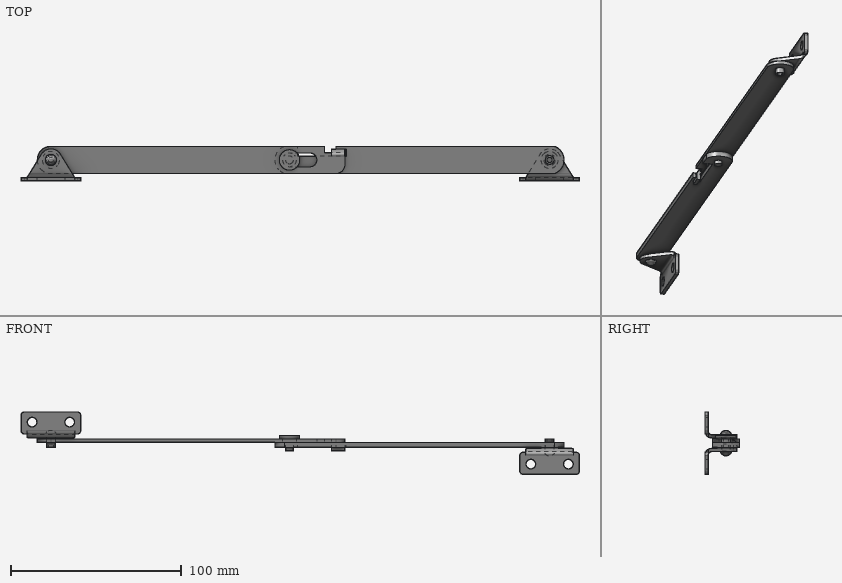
import cadquery as cq
import math

overall_length = 327.1
overall_depth = 20.3
overall_height = 36.6

arm_width = 16.0
upper_arm_thickness = 2.0
lower_arm_thickness = 3.0
upper_arm_top_z = (upper_arm_thickness + lower_arm_thickness) / 2
lower_arm_bottom_z = -upper_arm_top_z
joint_z = upper_arm_top_z - upper_arm_thickness
upper_arm_corner_radius = 5.4
lower_arm_end_radius = 8.5
arm_top_y = overall_depth / 2
arm_bottom_y = arm_top_y - arm_width
axis_y = arm_top_y - arm_width / 2

bracket_length = 35.0
bracket_sheet = 2.0
bracket_bend_radius = 2.0
plate_height = 13.0
plate_corner_radius = 2.0
screw_hole_diameter = 5.5
screw_hole_spacing = 22.0
screw_hole_edge = 6.0
ear_base_width = 28.0
ear_tip_radius = 6.5
bracket_x = -(overall_length - bracket_length) / 2
wall_y = -overall_depth / 2

washer_diameter = 10.0
washer_thickness = 0.5
ear_bottom_z = upper_arm_top_z + washer_thickness
ear_top_z = ear_bottom_z + bracket_sheet

rivet_diameter = 5.1
rivet_head_diameter = 6.6
rivet_head_height = 2.5
rivet_tail_length = 2.5
rivet_bore_diameter = 3.0
rivet_bore_depth = 2.0

pin_x = -6.3
pin_head_diameter = 12.0
pin_head_height = 2.0
pin_collar_diameter = 8.0
pin_shank_diameter = 4.6
pin_tail_length = 2.0
slot_travel = 12.0

upper_arm_end_x = 26.2
tab_length = 8.0
tab_bend_radius = 2.0
tab_outer_y = 8.5
tab_bottom_z = -4.5
tab_outer_radius = tab_bend_radius + upper_arm_thickness
tab_bend_y = tab_outer_y - tab_outer_radius
tab_start_x = upper_arm_end_x - tab_length
upper_notch_start_x = 14.3
upper_notch_floor_y = 6.4

lower_notch_start_x = -1.5
lower_notch_end_x = 20.9
lower_notch_floor_y = 4.4
hook_end_x = 26.8


def box_between(x0, x1, y0, y1, z0, z1):
    """Axis-aligned block given by its limits."""
    return cq.Workplane("XY").box(x1 - x0, y1 - y0, z1 - z0, centered=False).translate((x0, y0, z0))


def cylinder(x, diameter, z0, z1):
    """Vertical cylinder on the common pivot line."""
    return cq.Workplane("XY", origin=(x, axis_y, z0)).circle(diameter / 2).extrude(z1 - z0)


def arc_middle(centre_y, centre_z, radius, y_sign, z_sign):
    """Midpoint of a quarter arc in the YZ plane; the signs choose its quadrant."""
    reach = radius * math.sqrt(0.5)
    return (centre_y + y_sign * reach, centre_z + z_sign * reach)


def turned(body):
    """Copy turned half a turn about Y, for the other end of the stay."""
    return body.rotate((0, 0, 0), (0, 1, 0), 180)


def make_bracket():
    """Wall plate and ear joined by a bend; the ear tapers to a round tip at the pivot."""
    outer_radius = bracket_bend_radius + bracket_sheet
    bend_y = wall_y + outer_radius
    bend_z = ear_bottom_z + outer_radius
    tip_y = axis_y + ear_tip_radius
    plate_top_z = overall_height / 2
    plate_inner_y = wall_y + bracket_sheet

    folded = (
        cq.Workplane("YZ", origin=(bracket_x - bracket_length / 2, 0, 0))
        .moveTo(wall_y, plate_top_z)
        .lineTo(wall_y, bend_z)
        .threePointArc(arc_middle(bend_y, bend_z, outer_radius, -1, -1), (bend_y, ear_bottom_z))
        .lineTo(tip_y, ear_bottom_z)
        .lineTo(tip_y, ear_top_z)
        .lineTo(bend_y, ear_top_z)
        .threePointArc(arc_middle(bend_y, bend_z, bracket_bend_radius, -1, -1), (plate_inner_y, bend_z))
        .lineTo(plate_inner_y, plate_top_z)
        .close()
        .extrude(bracket_length)
    )

    base_half = ear_base_width / 2
    base_drop = axis_y - plate_inner_y
    base_distance = math.hypot(base_half, base_drop)
    tangent_angle = math.acos(ear_tip_radius / base_distance) - math.atan2(base_drop, base_half)
    tangent_x = ear_tip_radius * math.cos(tangent_angle)
    tangent_y = axis_y + ear_tip_radius * math.sin(tangent_angle)
    ear_outline = (
        cq.Workplane("XY")
        .moveTo(bracket_x - base_half, wall_y)
        .lineTo(bracket_x - base_half, plate_inner_y)
        .lineTo(bracket_x - tangent_x, tangent_y)
        .threePointArc((bracket_x, tip_y), (bracket_x + tangent_x, tangent_y))
        .lineTo(bracket_x + base_half, plate_inner_y)
        .lineTo(bracket_x + base_half, wall_y)
        .close()
        .extrude(plate_top_z)
    )

    plate = box_between(
        bracket_x - bracket_length / 2,
        bracket_x + bracket_length / 2,
        wall_y,
        plate_inner_y,
        plate_top_z - plate_height,
        plate_top_z,
    )
    plate = plate.edges("|Y").fillet(plate_corner_radius)
    plate_space = box_between(
        bracket_x - base_half, bracket_x + base_half, wall_y, plate_inner_y, ear_bottom_z, bend_z
    )
    bracket = folded.intersect(ear_outline).union(plate.cut(plate_space))

    hole_z = plate_top_z - screw_hole_edge
    for side in (-1, 1):
        hole_x = bracket_x + side * screw_hole_spacing / 2
        hole = (
            cq.Workplane("XZ", origin=(hole_x, plate_inner_y, hole_z))
            .circle(screw_hole_diameter / 2)
            .extrude(bracket_sheet)
        )
        bracket = bracket.cut(hole)
    return bracket.cut(cylinder(bracket_x, rivet_diameter, ear_bottom_z, ear_top_z))


def make_washer():
    """Flat ring between the arm and the bracket ear."""
    ring = cylinder(bracket_x, washer_diameter, upper_arm_top_z, ear_bottom_z)
    return ring.cut(cylinder(bracket_x, rivet_diameter, upper_arm_top_z, ear_bottom_z))


def make_rivet():
    """Pivot rivet with a domed head on the ear and a bored tail past the arm."""
    shank_radius = rivet_diameter / 2
    head_radius = rivet_head_diameter / 2
    dome_radius = (head_radius**2 + rivet_head_height**2) / (2 * rivet_head_height)
    head_top_z = ear_top_z + rivet_head_height
    dome_centre_z = head_top_z - dome_radius
    half_angle = (math.pi / 2 + math.asin((ear_top_z - dome_centre_z) / dome_radius)) / 2
    dome_middle = (dome_radius * math.cos(half_angle), dome_centre_z + dome_radius * math.sin(half_angle))
    profile = (
        cq.Workplane("XZ", origin=(bracket_x, axis_y, 0))
        .moveTo(0, -rivet_tail_length)
        .lineTo(shank_radius, -rivet_tail_length)
        .lineTo(shank_radius, ear_top_z)
        .lineTo(head_radius, ear_top_z)
        .threePointArc(dome_middle, (0, head_top_z))
        .close()
    )
    rivet = profile.revolve(360, (0, 0, 0), (0, 1, 0))
    bore = cylinder(bracket_x, rivet_bore_diameter, -rivet_tail_length, rivet_bore_depth - rivet_tail_length)
    return rivet.cut(bore)


def make_upper_arm():
    """Upper bar with the pin slot, the end notch and the bent-down locking tab."""
    bar = box_between(bracket_x, upper_arm_end_x, arm_bottom_y, arm_top_y, joint_z, upper_arm_top_z)
    bar = bar.edges("|Z and >X and <Y").fillet(upper_arm_corner_radius)
    bar = bar.union(cylinder(bracket_x, arm_width, joint_z, upper_arm_top_z))
    notch = box_between(
        upper_notch_start_x, upper_arm_end_x, upper_notch_floor_y, arm_top_y, joint_z, upper_arm_top_z
    )
    tab_space = box_between(tab_start_x, upper_arm_end_x, tab_bend_y, arm_top_y, joint_z, upper_arm_top_z)
    slot = (
        cq.Workplane("XY", origin=(pin_x + slot_travel / 2, axis_y, joint_z))
        .slot2D(slot_travel + pin_collar_diameter, pin_collar_diameter)
        .extrude(upper_arm_thickness)
    )
    bar = bar.cut(notch).cut(tab_space).cut(slot)
    bar = bar.cut(cylinder(bracket_x, rivet_diameter, joint_z, upper_arm_top_z))

    bend_z = upper_arm_top_z - tab_outer_radius
    tab = (
        cq.Workplane("YZ", origin=(tab_start_x, 0, 0))
        .moveTo(tab_bend_y, upper_arm_top_z)
        .threePointArc(arc_middle(tab_bend_y, bend_z, tab_outer_radius, 1, 1), (tab_outer_y, bend_z))
        .lineTo(tab_outer_y, tab_bottom_z)
        .lineTo(tab_outer_y - upper_arm_thickness, tab_bottom_z)
        .lineTo(tab_outer_y - upper_arm_thickness, bend_z)
        .threePointArc(arc_middle(tab_bend_y, bend_z, tab_bend_radius, 1, 1), (tab_bend_y, joint_z))
        .close()
        .extrude(tab_length)
    )
    return bar.union(tab)


def make_lower_arm():
    """Lower bar with the open notch and the hook slot that holds the tab."""
    end_inset = math.sqrt(lower_arm_end_radius**2 - (arm_width / 2) ** 2)
    left_x = pin_x - end_inset
    right_x = -bracket_x + end_inset
    bar = (
        cq.Workplane("XY", origin=(0, 0, lower_arm_bottom_z))
        .moveTo(left_x, arm_bottom_y)
        .lineTo(right_x, arm_bottom_y)
        .threePointArc((-bracket_x + lower_arm_end_radius, axis_y), (right_x, arm_top_y))
        .lineTo(left_x, arm_top_y)
        .threePointArc((pin_x - lower_arm_end_radius, axis_y), (left_x, arm_bottom_y))
        .close()
        .extrude(lower_arm_thickness)
    )
    notch = box_between(
        lower_notch_start_x, lower_notch_end_x, lower_notch_floor_y, arm_top_y, lower_arm_bottom_z, joint_z
    )
    hook_slot = box_between(
        lower_notch_end_x, hook_end_x, lower_notch_floor_y, tab_outer_y, lower_arm_bottom_z, joint_z
    )
    bar = bar.cut(notch).cut(hook_slot)
    bar = bar.cut(cylinder(pin_x, pin_shank_diameter, lower_arm_bottom_z, joint_z))
    return bar.cut(cylinder(-bracket_x, rivet_diameter, lower_arm_bottom_z, joint_z))


def make_pin():
    """Flat-headed pin: a collar in the slot of the upper arm, a shank through the lower arm."""
    head = cylinder(pin_x, pin_head_diameter, upper_arm_top_z, upper_arm_top_z + pin_head_height)
    collar = cylinder(pin_x, pin_collar_diameter, joint_z, upper_arm_top_z)
    shank = cylinder(pin_x, pin_shank_diameter, lower_arm_bottom_z - pin_tail_length, joint_z)
    return head.union(collar).union(shank)


end_bodies = []
for make_body in (make_bracket, make_washer, make_rivet):
    left_body = make_body()
    end_bodies.append(left_body.val())
    end_bodies.append(turned(left_body).val())

upper_arm = make_upper_arm()
lower_arm = make_lower_arm()
pin = make_pin()

result = cq.Compound.makeCompound([*end_bodies, upper_arm.val(), lower_arm.val(), pin.val()])